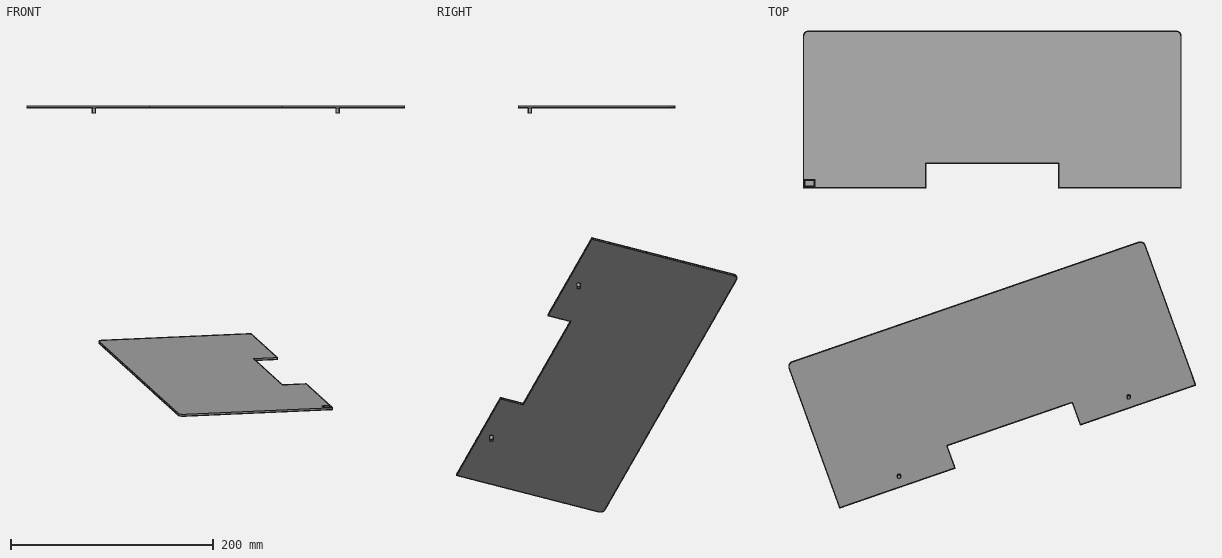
import cadquery as cq

plate_length = 372.0
plate_width = 154.5
plate_thickness = 2.0
corner_radius = 5.0
notch_length = 131.0
notch_depth = 24.0

pin_diameter = 3.5
pin_length = 5.0
pin_spacing = 240.0
pin_edge_distance = 11.4

label_length = 11.0
label_width = 7.5
label_depth = 0.1
label_side_gap = 0.5
label_front_gap = 0.8
label_rim = 1.0
label_field_depth = label_depth / 2

front_y = -plate_width / 2
left_x = -plate_length / 2
label_x = left_x + label_side_gap + label_length / 2
label_y = front_y + label_front_gap + label_width / 2


def make_label_blank():
    return (
        cq.Workplane("XY", origin=(label_x, label_y, plate_thickness))
        .rect(label_length, label_width)
        .extrude(-label_depth)
    )


def make_label():
    field = (
        cq.Workplane("XY", origin=(label_x, label_y, plate_thickness))
        .rect(label_length - 2 * label_rim, label_width - 2 * label_rim)
        .extrude(-label_field_depth)
    )
    return make_label_blank().cut(field)


def make_plate():
    blank = (
        cq.Workplane("XY")
        .box(plate_length, plate_width, plate_thickness, centered=(True, True, False))
        .edges("|Z and >Y")
        .fillet(corner_radius)
    )
    notch = (
        cq.Workplane("XY")
        .box(notch_length, notch_depth, plate_thickness, centered=(True, False, False))
        .translate((0, front_y, 0))
    )
    return blank.cut(notch).cut(make_label_blank())


def make_pin(x):
    return (
        cq.Workplane("XY")
        .center(x, front_y + pin_edge_distance)
        .circle(pin_diameter / 2)
        .extrude(-pin_length)
    )


plate = make_plate()
label = make_label()
pins = [make_pin(side * pin_spacing / 2) for side in (-1, 1)]

result = cq.Compound.makeCompound([plate.val(), label.val(), *[pin.val() for pin in pins]])